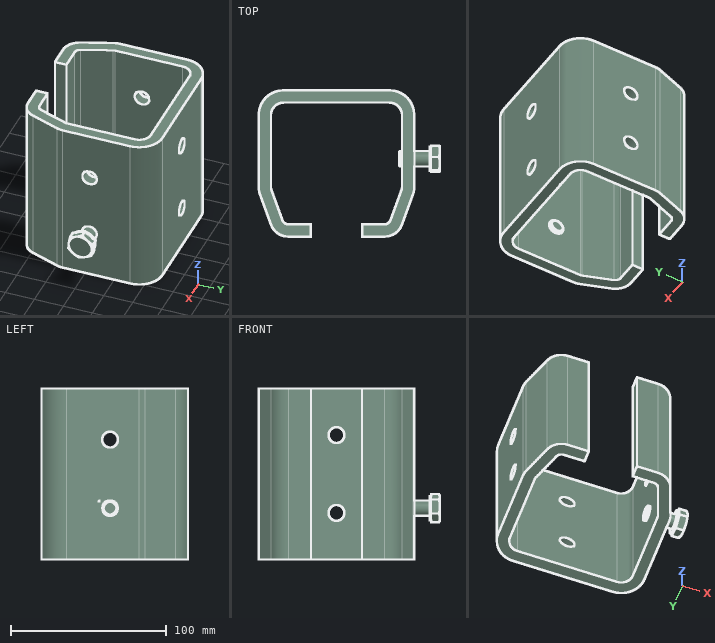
import cadquery as cq
import math

OVERALL_LENGTH = 116.4
RAIL_WIDTH = 100.0
RAIL_DEPTH = 94.0
RAIL_HEIGHT = 110.0

WALL = 8.0
BACK_CORNER_RADIUS = 16.0
FRONT_BEND_RADIUS = 12.0
SLOT_WIDTH = 32.8
TAPER_START_DEPTH = 64.6
TAPER_ANGLE = 20.0

HOLE_DIAMETER = 10.0
BACK_HOLE_HEIGHTS = (30.0, 80.0)
BOLT_HEIGHT = 33.0
UPPER_SIDE_HOLE_HEIGHT = 77.0
SIDE_HOLE_DEPTH = 44.0

BOLT_PROTRUSION = 1.9
BOLT_TIP_CHAMFER_LENGTH = 0.6
BOLT_TIP_CHAMFER_DEPTH = 0.9
HEAD_ACROSS_FLATS = 16.0
HEAD_THICKNESS = 5.7
HEAD_TURN = 7.7
HEAD_CHAMFER_ANGLE = 30.0
COLLAR_DIAMETER = 15.7
COLLAR_THICKNESS = 1.0

HALF_WIDTH = RAIL_WIDTH / 2
HEAD_END_X = OVERALL_LENGTH - HALF_WIDTH
HEAD_START_X = HEAD_END_X - HEAD_THICKNESS
COLLAR_START_X = HEAD_START_X - COLLAR_THICKNESS
BOLT_TIP_X = HALF_WIDTH - WALL - BOLT_PROTRUSION


def section_prism(inset):
    """Closed rail section, inset from the outer faces and extruded to the full height."""
    half_width = HALF_WIDTH - inset
    front_y = inset - RAIL_DEPTH
    taper = math.radians(TAPER_ANGLE)
    taper_y = -TAPER_START_DEPTH + inset * math.tan(taper / 2)
    front_x = half_width - (taper_y - front_y) * math.tan(taper)
    outline = [
        (-half_width, -inset),
        (half_width, -inset),
        (half_width, taper_y),
        (front_x, front_y),
        (-front_x, front_y),
        (-half_width, taper_y),
    ]
    prism = cq.Workplane("XY").polyline(outline).close().extrude(RAIL_HEIGHT)
    prism = prism.edges("|Z and >Y").fillet(BACK_CORNER_RADIUS - inset)
    front_bends = cq.selectors.BoxSelector(
        (-RAIL_WIDTH, -2 * RAIL_DEPTH, 0), (RAIL_WIDTH, -RAIL_DEPTH / 2, RAIL_HEIGHT)
    )
    return prism.edges("|Z").edges(front_bends).fillet(FRONT_BEND_RADIUS - inset)


def front_slot():
    """Opening between the two front lips."""
    return (
        cq.Workplane("XY", origin=(0, -RAIL_DEPTH, 0))
        .rect(SLOT_WIDTH, 2 * WALL)
        .extrude(RAIL_HEIGHT)
    )


def rod_x(diameter, start_x, length, height):
    """Round bar along X on the line of the side holes."""
    return (
        cq.Workplane("YZ", origin=(start_x, -SIDE_HOLE_DEPTH, height))
        .circle(diameter / 2)
        .extrude(length)
    )


def make_rail():
    rail = section_prism(0).cut(section_prism(WALL)).cut(front_slot())
    for height in BACK_HOLE_HEIGHTS:
        hole = cq.Workplane("XZ", origin=(0, 0, height)).circle(HOLE_DIAMETER / 2).extrude(WALL)
        rail = rail.cut(hole)
    for height in (BOLT_HEIGHT, UPPER_SIDE_HOLE_HEIGHT):
        rail = rail.cut(rod_x(HOLE_DIAMETER, -HALF_WIDTH, RAIL_WIDTH, height))
    return rail


def make_head():
    """Hexagonal head whose outer corners are trimmed by a cone."""
    flat_radius = HEAD_ACROSS_FLATS / 2
    corner_radius = flat_radius / math.cos(math.pi / 6)
    cone_drop = (corner_radius - flat_radius) * math.tan(math.radians(HEAD_CHAMFER_ANGLE))
    hexagon = (
        cq.Workplane("YZ", origin=(HEAD_START_X, -SIDE_HOLE_DEPTH, BOLT_HEIGHT))
        .transformed(rotate=(0, 0, 90 - HEAD_TURN))
        .polygon(6, 2 * corner_radius)
        .extrude(HEAD_THICKNESS)
    )
    cone = rod_x(2 * corner_radius, HEAD_START_X, HEAD_THICKNESS, BOLT_HEIGHT)
    cone = cone.faces(">X").chamfer(cone_drop, corner_radius - flat_radius)
    return hexagon.intersect(cone)


def make_bolt():
    shank = rod_x(HOLE_DIAMETER, BOLT_TIP_X, COLLAR_START_X - BOLT_TIP_X, BOLT_HEIGHT)
    shank = shank.faces("<X").chamfer(BOLT_TIP_CHAMFER_LENGTH, BOLT_TIP_CHAMFER_DEPTH)
    collar = rod_x(COLLAR_DIAMETER, COLLAR_START_X, COLLAR_THICKNESS, BOLT_HEIGHT)
    return shank.union(collar).union(make_head())


rail = make_rail()
bolt = make_bolt()
result = cq.Compound.makeCompound([rail.val(), bolt.val()])